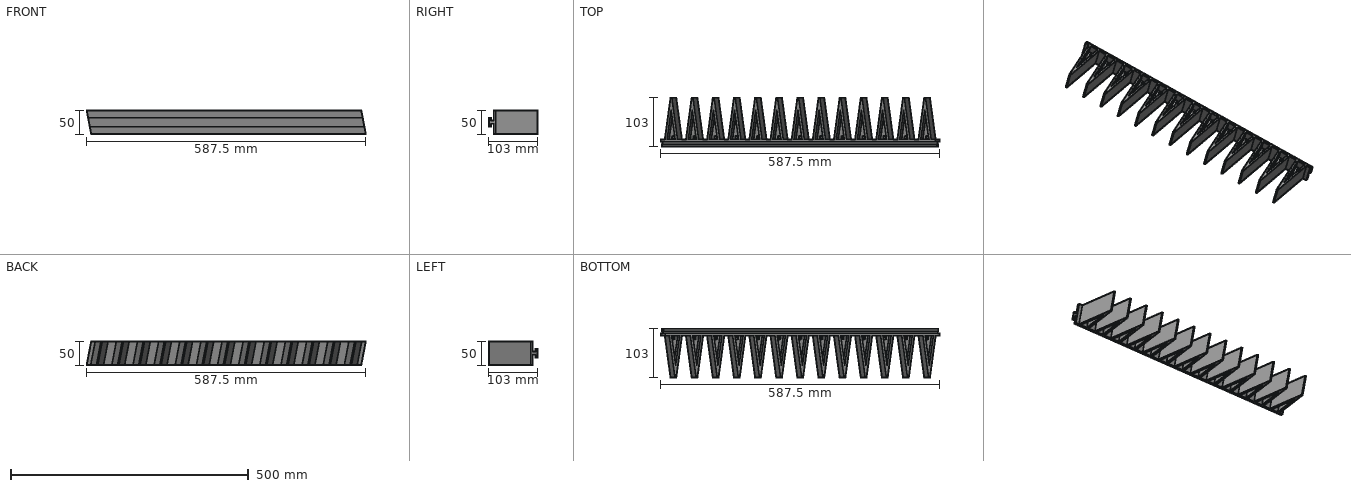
import cadquery as cq
import math

overall_length = 587.5
overall_depth = 103.0
height = 50.0

lean_angle = 10.8
lean = math.tan(math.radians(lean_angle))
level_length = overall_length - height * lean

plate_thickness = 5.0
neck_depth = 5.0
flange_thickness = 5.0
flange_height = 19.0
neck_height = 7.5

tooth_count = 13
tooth_pitch = level_length / tooth_count
tooth_base_width = 27.0
tooth_tip_width = 3.0
tooth_wall = 5.0

web_thickness = 5.0
hole_diameter = 5.0
hole_offset = 4.5

flange_back = flange_thickness
plate_front = flange_back + neck_depth
plate_back = plate_front + plate_thickness
tooth_length = overall_depth - plate_back


def leaning_prism(outline, bottom, top):
    """Solid between two levels whose XY outline, given at mid height, shifts along the lean."""
    bottom_shift = -bottom * lean
    top_shift = -top * lean
    base = [(x + bottom_shift, y) for x, y in outline]
    roof = [(x + top_shift, y) for x, y in outline]
    return (
        cq.Workplane("XY", origin=(0, 0, bottom))
        .polyline(base)
        .close()
        .workplane(offset=top - bottom)
        .polyline(roof)
        .close()
        .loft(ruled=True)
    )


def rail_bar(front, back, bar_height):
    """Full-length bar centred on mid height, with leaning ends."""
    half = level_length / 2
    outline = [(-half, front), (half, front), (half, back), (-half, back)]
    return leaning_prism(outline, -bar_height / 2, bar_height / 2)


def make_rail():
    """Back plate, neck and front flange forming a T-slot profile."""
    plate = rail_bar(plate_front, plate_back, height)
    neck = rail_bar(flange_back, plate_front, neck_height)
    flange = rail_bar(0, flange_back, flange_height)
    return plate.union(neck).union(flange)


def tooth_outline(center_x):
    """Trapezoid tapering from the plate to the tip."""
    half_base = tooth_base_width / 2
    half_tip = tooth_tip_width / 2
    return [
        (center_x - half_base, plate_back),
        (center_x + half_base, plate_back),
        (center_x + half_tip, overall_depth),
        (center_x - half_tip, overall_depth),
    ]


def pocket_outline(center_x):
    """Triangle left inside a tooth by two side walls of constant thickness."""
    side_slope = (tooth_base_width - tooth_tip_width) / 2 / tooth_length
    wall_along_x = tooth_wall * math.sqrt(1 + side_slope**2)
    half_base = tooth_base_width / 2 - wall_along_x
    apex = plate_back + half_base / side_slope
    return [
        (center_x - half_base, plate_back),
        (center_x + half_base, plate_back),
        (center_x, apex),
    ]


def make_tooth(center_x):
    """Leaning tooth, hollow above and below a drilled web."""
    half_web = web_thickness / 2
    pocket = pocket_outline(center_x)
    hole = (
        cq.Workplane("XY", origin=(center_x, plate_back + hole_offset, -half_web))
        .circle(hole_diameter / 2)
        .extrude(web_thickness)
    )
    return (
        leaning_prism(tooth_outline(center_x), -height / 2, height / 2)
        .cut(leaning_prism(pocket, half_web, height / 2))
        .cut(leaning_prism(pocket, -height / 2, -half_web))
        .cut(hole)
    )


result = make_rail()
first_tooth_x = -tooth_pitch * (tooth_count - 1) / 2
for index in range(tooth_count):
    result = result.union(make_tooth(first_tooth_x + index * tooth_pitch))